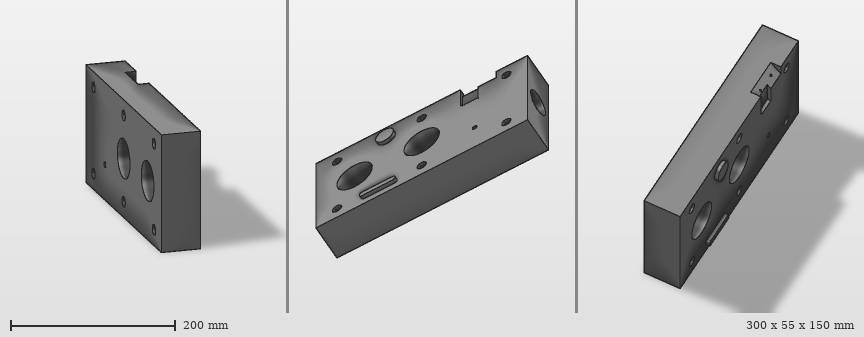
import cadquery as cq
import math

LENGTH = 300
HEIGHT = LENGTH / 2
THICKNESS = LENGTH / 6

SCREW_DIAMETER = 13.0
SCREW_SPACING_X = 120
SCREW_OFFSET_Z = 55.0
BORE_DIAMETER = THICKNESS
BORE_SPACING = 95.0
PIN_HOLE_DIAMETER = 6.5
PIN_HOLE_X = -75
PIN_HOLE_Z = -30

END_RECESS_DIAMETER = 35.0
END_RECESS_DEPTH = 10.0

NOTCH_WIDTH = 50.7
NOTCH_CENTER_X = -80.0
NOTCH_DEPTH = 14.0
NOTCH_HOLE_DIAMETER = 2.7
NOTCH_HOLE_SPACING = 26.0
NOTCH_HOLE_DEPTH = 9

BOSS_HEIGHT = THICKNESS / 10
DISC_DIAMETER = 25.2
DISC_X = 49.8
DISC_Z = 50.0
KEY_LENGTH = 50.7
KEY_WIDTH = 8.0
KEY_X = 60
KEY_Z = -60

CHANNEL_WIDTH = NOTCH_WIDTH / 2
CHANNEL_DEPTH = BOSS_HEIGHT
CHANNEL_DROP = CHANNEL_WIDTH
CHANNEL_CORNER_RADIUS = 5.0


def rear_plane(offset=0):
    """Sketch plane offset behind the rear face, with +X and +Z in plane and its normal along -Y."""
    return cq.Workplane("XZ", origin=(0, THICKNESS + offset, 0))


def through_cylinders(points, diameter):
    return rear_plane().pushPoints(points).circle(diameter / 2).extrude(THICKNESS)


def through_holes():
    screw_points = [
        (column * SCREW_SPACING_X, side * SCREW_OFFSET_Z)
        for column in (-1, 0, 1)
        for side in (-1, 1)
    ]
    screws = through_cylinders(screw_points, SCREW_DIAMETER)
    bores = through_cylinders([(0, 0), (BORE_SPACING, 0)], BORE_DIAMETER)
    pin_hole = through_cylinders([(PIN_HOLE_X, PIN_HOLE_Z)], PIN_HOLE_DIAMETER)
    return screws.union(bores).union(pin_hole)


def end_recess():
    return (
        cq.Workplane("YZ", origin=(-LENGTH / 2, THICKNESS / 2, 0))
        .circle(END_RECESS_DIAMETER / 2)
        .extrude(END_RECESS_DEPTH)
    )


def notch():
    top = HEIGHT / 2
    wedge = (
        cq.Workplane("YZ", origin=(NOTCH_CENTER_X - NOTCH_WIDTH / 2, 0, 0))
        .polyline([(THICKNESS - NOTCH_DEPTH, top), (THICKNESS, top), (THICKNESS, top - NOTCH_DEPTH)])
        .close()
        .extrude(NOTCH_WIDTH)
    )
    slope_center = (NOTCH_CENTER_X, THICKNESS - NOTCH_DEPTH / 2, top - NOTCH_DEPTH / 2)
    slope_plane = cq.Plane(origin=slope_center, xDir=(1, 0, 0), normal=(0, -1, -1))
    holes = (
        cq.Workplane(slope_plane)
        .pushPoints([(side * NOTCH_HOLE_SPACING / 2, 0) for side in (-1, 1)])
        .circle(NOTCH_HOLE_DIAMETER / 2)
        .extrude(NOTCH_HOLE_DEPTH)
    )
    return wedge.union(holes)


def channel():
    left = NOTCH_CENTER_X
    right = left + CHANNEL_WIDTH
    top = HEIGHT / 2 - NOTCH_DEPTH / 2
    floor = HEIGHT / 2 - NOTCH_DEPTH - CHANNEL_DROP
    radius = CHANNEL_CORNER_RADIUS
    diagonal = radius * math.sqrt(0.5)
    return (
        rear_plane()
        .moveTo(left, top)
        .lineTo(left, floor)
        .lineTo(right - radius, floor)
        .threePointArc((right - radius + diagonal, floor + radius - diagonal), (right, floor + radius))
        .lineTo(right, top)
        .close()
        .extrude(CHANNEL_DEPTH)
    )


def rear_bosses():
    disc = rear_plane(BOSS_HEIGHT).center(DISC_X, DISC_Z).circle(DISC_DIAMETER / 2).extrude(BOSS_HEIGHT)
    key = rear_plane(BOSS_HEIGHT).center(KEY_X, KEY_Z).slot2D(KEY_LENGTH, KEY_WIDTH).extrude(BOSS_HEIGHT)
    return disc.union(key)


block = cq.Workplane("XY").box(LENGTH, THICKNESS, HEIGHT).translate((0, THICKNESS / 2, 0))
result = (
    block.union(rear_bosses())
    .cut(through_holes())
    .cut(end_recess())
    .cut(notch())
    .cut(channel())
)